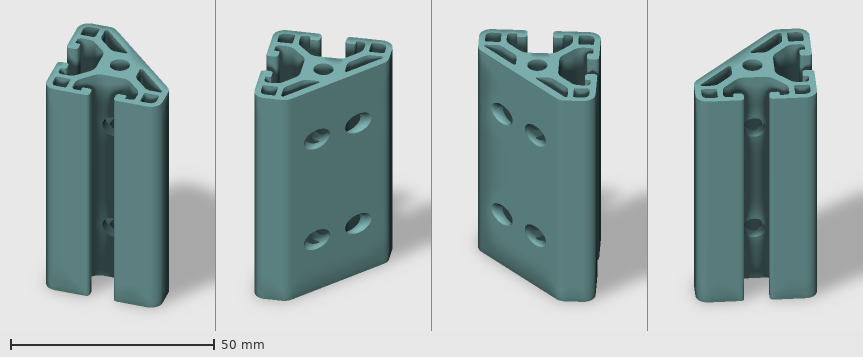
import cadquery as cq
import math

side = 30.0
length = 60.0
half = side / 2
wall = 1.55
corner_radius = 3.0
bevel_sum = 8.7

mouth_width = 6.3
slot_width = 16.3
hub_half = 5.3
lip_width = 2.6
lip_depth = 3.0
rib_offset = 1.45
rib_radius = 3.0
lip_radius = 0.9
lip_back_radius = 0.5
slot_corner_radius = 1.0

cell_size = 3.9
cell_radius = 0.5
triangle_sum = 5.95
triangle_rib_radius = 2.5
triangle_tip_radius = 0.4

bore_diameter = 5.0
cross_hole_diameter = 5.5
cross_hole_heights = (length / 4, length * 3 / 4)


def mirror_x(corners):
    """Reflect (x, y, radius) corners across the Y axis, keeping the path direction."""
    return [(-x, y, r) for x, y, r in reversed(corners)]


def mirror_diagonal(corners):
    """Reflect (x, y, radius) corners across the line Y = X, keeping the path direction."""
    return [(y, x, r) for x, y, r in reversed(corners)]


def point_toward(start, end, distance):
    """Point at the given distance from start on the way to end."""
    ratio = distance / math.dist(start, end)
    return (start[0] + ratio * (end[0] - start[0]), start[1] + ratio * (end[1] - start[1]))


def rounded_prism(corners):
    """Extrude a closed outline of (x, y, radius) corners; radius 0 leaves a sharp corner."""
    points = [(x, y) for x, y, _ in corners]
    path = None
    for i, (x, y, radius) in enumerate(corners):
        corner = (x, y)
        before = points[i - 1]
        after = points[(i + 1) % len(points)]
        angle_in = math.atan2(before[1] - y, before[0] - x)
        angle_out = math.atan2(after[1] - y, after[0] - x)
        half_angle = abs(math.remainder(angle_out - angle_in, 2 * math.pi)) / 2
        setback = radius / math.tan(half_angle)
        arc_start = point_toward(corner, before, setback)
        path = path.lineTo(*arc_start) if path else cq.Workplane("XY").moveTo(*arc_start)
        if radius > 0:
            arc_end = point_toward(corner, after, setback)
            bisector = (arc_start[0] + arc_end[0]) / 2, (arc_start[1] + arc_end[1]) / 2
            arc_middle = point_toward(corner, bisector, radius / math.sin(half_angle) - radius)
            path = path.threePointArc(arc_middle, arc_end)
    return path.close().extrude(length)


mouth_half = mouth_width / 2
slot_half = slot_width / 2
lip_back = mouth_half + lip_width
slot_right = [
    (hub_half - rib_offset, -hub_half, rib_radius),
    (slot_half, -slot_half - rib_offset, rib_radius),
    (slot_half, -half + wall, slot_corner_radius),
    (lip_back, -half + wall, 0),
    (lip_back, -half + lip_depth, lip_back_radius),
    (mouth_half, -half + lip_depth, lip_radius),
    (mouth_half, -half, lip_radius),
]
slot = mirror_x(slot_right) + slot_right

bevel_corner = [
    (half, -half, corner_radius),
    (half, bevel_sum - half, corner_radius),
]
outline = (
    [(-half, -half, corner_radius)]
    + slot
    + bevel_corner
    + mirror_diagonal(bevel_corner)
    + mirror_diagonal(slot)
)
body = rounded_prism(outline)

cell_outer = half - wall
cell_inner = cell_outer - cell_size
corner_cell = [
    (-cell_outer, -cell_outer, corner_radius - wall),
    (-cell_inner, -cell_outer, cell_radius),
    (-cell_inner, -cell_inner, cell_radius),
    (-cell_outer, -cell_inner, cell_radius),
]
right_cell = mirror_x(corner_cell)

triangle_cell = [
    (hub_half, triangle_sum - hub_half, triangle_tip_radius),
    (hub_half, rib_offset - hub_half, triangle_rib_radius),
    (slot_half + rib_offset, -slot_half, triangle_rib_radius),
    (cell_outer, -slot_half, triangle_tip_radius),
    (cell_outer, triangle_sum - cell_outer, 0),
]

for cell in (
    corner_cell,
    right_cell,
    mirror_diagonal(right_cell),
    triangle_cell,
    mirror_diagonal(triangle_cell),
):
    body = body.cut(rounded_prism(cell))

body = body.cut(cq.Workplane("XY").circle(bore_diameter / 2).extrude(length))

for height in cross_hole_heights:
    for plane in ("XZ", "YZ"):
        drill = cq.Workplane(plane).center(0, height).circle(cross_hole_diameter / 2)
        body = body.cut(drill.extrude(half, both=True))

result = body